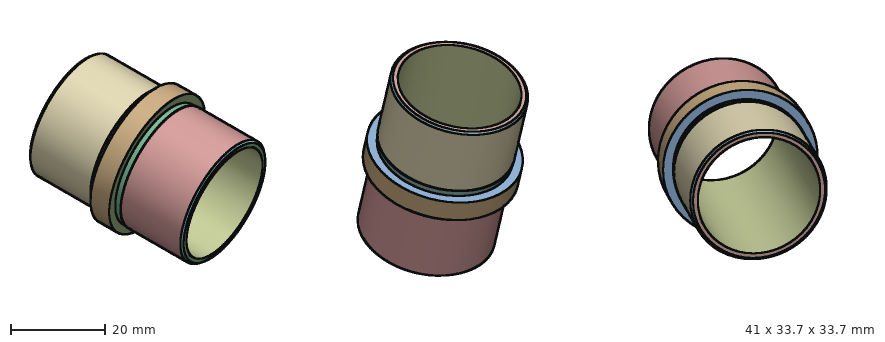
import cadquery as cq

length = 41.0
collar_diameter = 33.7
collar_width = 5.0
sleeve_diameter = 29.75
bore_diameter = 26.7

groove_width = 1.5
groove_depth = 0.15

end_chamfer = 0.5


def cylinder_along_x(diameter, width):
    """Solid cylinder on the X axis, centred on the origin."""
    return cq.Workplane("YZ", origin=(-width / 2, 0, 0)).circle(diameter / 2).extrude(width)


sleeve = cylinder_along_x(sleeve_diameter, length).faces("<X or >X").chamfer(end_chamfer)

groove_span = collar_width + 2 * groove_width
groove_floor_diameter = sleeve_diameter - 2 * groove_depth
groove_band = cylinder_along_x(sleeve_diameter, groove_span).cut(
    cylinder_along_x(groove_floor_diameter, groove_span)
)
collar = cylinder_along_x(collar_diameter, collar_width)

bore = cylinder_along_x(bore_diameter, length)

result = sleeve.cut(groove_band).union(collar).cut(bore)